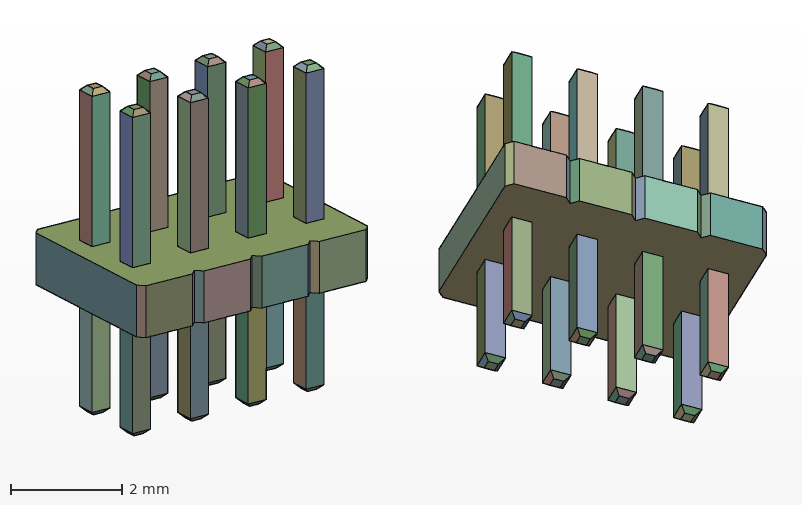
import cadquery as cq

rows = 4
columns = 2

body_width = 3.4
body_length = 5.08
body_height = 1.0
corner_cut = 0.125
pitch = body_length / rows

pin_side = 0.4
pin_length = 6.3
pin_below_body = 2.3
tip_size = pin_side / 4


def body_segment(center_y):
    """One row's block: a rectangle with its four upright corners cut off."""
    return (
        cq.Workplane("XY")
        .box(body_width, pitch, body_height, centered=(True, True, False))
        .edges("|Z")
        .chamfer(corner_cut)
        .translate((0, center_y, 0))
    )


def pin(center_x, center_y):
    """A square pin with a tapered tip at each end."""
    return (
        cq.Workplane("XY")
        .box(pin_side, pin_side, pin_length, centered=(True, True, False))
        .faces("<Z or >Z")
        .chamfer(tip_size)
        .translate((center_x, center_y, -pin_below_body))
    )


row_places = [(row - (rows - 1) / 2) * pitch for row in range(rows)]
column_places = [(column - (columns - 1) / 2) * pitch for column in range(columns)]

result = body_segment(row_places[0])
for y in row_places[1:]:
    result = result.union(body_segment(y))

for x in column_places:
    for y in row_places:
        result = result.union(pin(x, y))

result = result.clean()